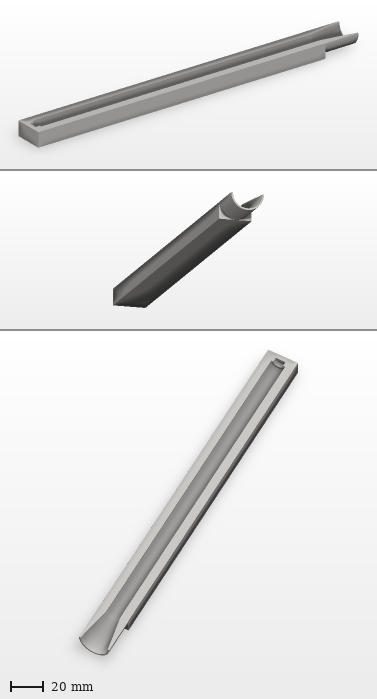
import cadquery as cq

length = 241.0
block_width = 20.7
tube_diameter = 21.0
tube_radius = tube_diameter / 2
height = tube_radius

flare_length = 24.8
flare_radius = 9.5
collar_taper_length = 2.0

channel_radius = 4.8
channel_end = 6.3
pocket_radius = 3.4
pocket_end = 3.1

flare_start = length - flare_length


def revolved(profile):
    """Revolve an outline of (radius, y) points around the Y axis."""
    return cq.Workplane("XY").polyline(profile).close().revolve(360, (0, 0), (0, 1))


def box_below_top(width, depth, y_start, y_end):
    """Box centred on X, hanging from the top plane."""
    size_y = y_end - y_start
    box = cq.Workplane("XY").box(width, size_y, depth, centered=(True, False, False))
    return box.translate((0, y_start, -depth))


collar_start = flare_start - collar_taper_length
collar = revolved([
    (0, collar_start),
    (block_width / 2, collar_start),
    (tube_radius, flare_start),
    (tube_radius, length),
    (0, length),
])
lower_half = box_below_top(tube_diameter, height, 0, length)
block = box_below_top(block_width, height, 0, flare_start)
body = block.union(collar.intersect(lower_half))

channel = revolved([
    (0, pocket_end),
    (pocket_radius, pocket_end),
    (pocket_radius, channel_end),
    (channel_radius, channel_end),
    (channel_radius, flare_start),
    (flare_radius, length),
    (0, length),
])

result = body.cut(channel)